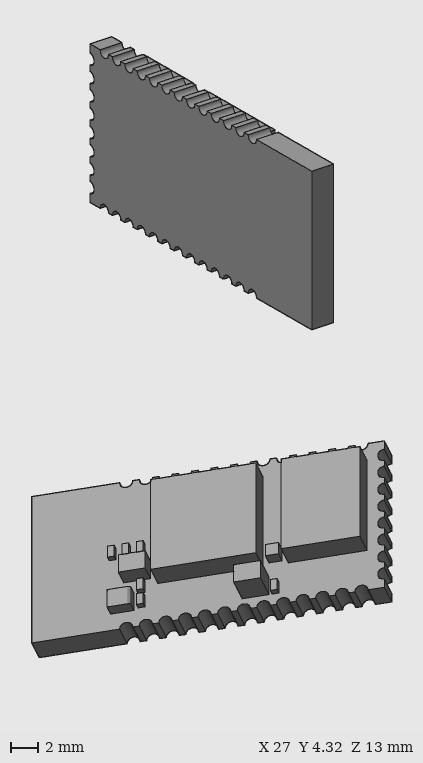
import cadquery as cq

BOARD_LENGTH = 27.0
BOARD_HEIGHT = 13.0
BOARD_THICKNESS = 2.02

NOTCH_DIAMETER = 1.0
LONG_EDGE_NOTCHES = 13
SHORT_EDGE_NOTCHES = 8
LONG_NOTCH_SPAN = 18.0
NOTCH_PITCH = LONG_NOTCH_SPAN / (LONG_EDGE_NOTCHES - 1)
FIRST_NOTCH_X = 1.75
FIRST_NOTCH_Z = (BOARD_HEIGHT - (SHORT_EDGE_NOTCHES - 1) * NOTCH_PITCH) / 2

MODULE_RISE = 1.95
TALL_RISE = 2.3
MEDIUM_RISE = 1.45
LOW_RISE = 0.97
CHIP_RISE = 0.49

MODULE_BOTTOM = 3.5
MODULE_HEIGHT = 7.96
LEFT_MODULE_X = 1.32
LEFT_MODULE_LENGTH = 6.02
RIGHT_MODULE_X = 9.3
RIGHT_MODULE_LENGTH = 8.05

BLOCK_LENGTH = 2.05
BLOCK_HEIGHT = 1.55
TALL_X = 8.83
TALL_Z = 0.97
MEDIUM_X = 17.9
MEDIUM_Z = 4.05

LOW_X = 7.83
LOW_SIZE = 1.0
LOW_Z = 3.78

ROUNDED_X = 19.17
ROUNDED_LENGTH = 1.78
ROUNDED_Z = 1.45
ROUNDED_HEIGHT = 1.55
ROUNDED_RADIUS = 0.2

CHIP_LENGTH = 0.5
CHIP_HEIGHT = 0.97
CHIP_ROW_X = 18.33
CHIP_ROW_Z = 6.2
CHIP_ROW_PITCH = 1.1
CHIP_ROW_COUNT = 3
SINGLE_CHIPS = [
    (LOW_X + (LOW_SIZE - CHIP_LENGTH) / 2, TALL_Z),
    (CHIP_ROW_X, 1.62),
    (CHIP_ROW_X, 2.92),
]


def block(x, z, length, height, rise, base=BOARD_THICKNESS):
    """Box with its lower left corner at (x, z), rising along +Y from the level base."""
    return cq.Workplane("XY").box(length, rise, height, centered=False).translate((x, base, z))


def notched_board():
    board = block(0, 0, BOARD_LENGTH, BOARD_HEIGHT, BOARD_THICKNESS, base=0)
    centers = []
    for i in range(LONG_EDGE_NOTCHES):
        x = FIRST_NOTCH_X + i * NOTCH_PITCH
        centers += [(x, 0), (x, BOARD_HEIGHT)]
    for i in range(SHORT_EDGE_NOTCHES):
        centers.append((0, FIRST_NOTCH_Z + i * NOTCH_PITCH))
    notches = cq.Workplane("XZ").pushPoints(centers).circle(NOTCH_DIAMETER / 2).extrude(-BOARD_THICKNESS)
    return board.cut(notches)


def rounded_part():
    body = block(ROUNDED_X, ROUNDED_Z, ROUNDED_LENGTH, ROUNDED_HEIGHT, LOW_RISE)
    return body.faces(">Y").edges("<X").fillet(ROUNDED_RADIUS)


def chips():
    row = [(CHIP_ROW_X + i * CHIP_ROW_PITCH, CHIP_ROW_Z) for i in range(CHIP_ROW_COUNT)]
    return [block(x, z, CHIP_LENGTH, CHIP_HEIGHT, CHIP_RISE) for x, z in row + SINGLE_CHIPS]


components = [
    block(LEFT_MODULE_X, MODULE_BOTTOM, LEFT_MODULE_LENGTH, MODULE_HEIGHT, MODULE_RISE),
    block(RIGHT_MODULE_X, MODULE_BOTTOM, RIGHT_MODULE_LENGTH, MODULE_HEIGHT, MODULE_RISE),
    block(TALL_X, TALL_Z, BLOCK_LENGTH, BLOCK_HEIGHT, TALL_RISE),
    block(MEDIUM_X, MEDIUM_Z, BLOCK_LENGTH, BLOCK_HEIGHT, MEDIUM_RISE),
    block(LOW_X, LOW_Z, LOW_SIZE, LOW_SIZE, LOW_RISE),
    rounded_part(),
] + chips()

result = notched_board()
for component in components:
    result = result.union(component)